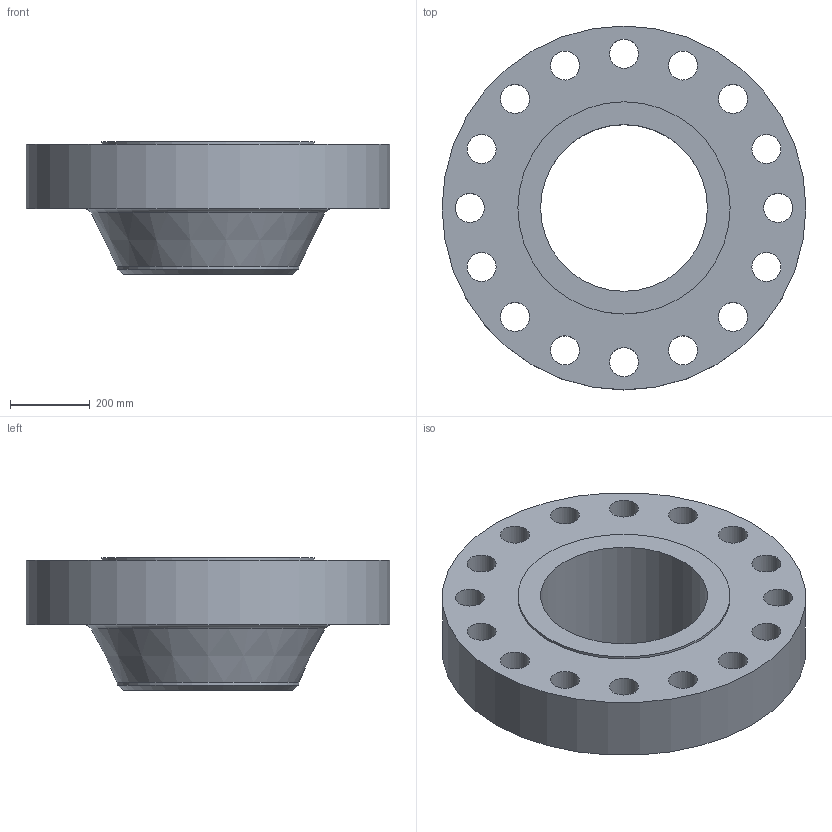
import cadquery as cq
import math

flange_diameter = 914.4
flange_thickness = 162.1
raised_face_diameter = 533.4
raised_face_height = 6.35
overall_height = 333.38

hub_base_diameter = 597.0
pipe_diameter = 457.2
bore_diameter = 419.1
weld_neck_length = 20.0
bevel_angle = 37.5
weld_land = 1.6
hub_fillet_radius = 19.05

corner_margin = 1.0

bolt_count = 16
bolt_circle_diameter = 774.7
bolt_hole_diameter = 73.0

flange_top = -raised_face_height
flange_bottom = flange_top - flange_thickness
weld_end = -overall_height
neck_top = weld_end + weld_neck_length


def make_body():
    """Flange, raised face and hub revolved about Z, with the bore open."""
    bore_radius = bore_diameter / 2
    pipe_radius = pipe_diameter / 2
    land_radius = bore_radius + weld_land
    bevel_height = (pipe_radius - land_radius) * math.tan(math.radians(bevel_angle))
    profile = (
        cq.Workplane("XZ")
        .moveTo(bore_radius, 0)
        .lineTo(raised_face_diameter / 2, 0)
        .lineTo(raised_face_diameter / 2, flange_top)
        .lineTo(flange_diameter / 2, flange_top)
        .lineTo(flange_diameter / 2, flange_bottom)
        .lineTo(hub_base_diameter / 2, flange_bottom)
        .lineTo(pipe_radius, neck_top)
        .lineTo(pipe_radius, weld_end + bevel_height)
        .lineTo(land_radius, weld_end)
        .lineTo(bore_radius, weld_end)
        .close()
    )
    body = profile.revolve(360, (0, 0, 0), (0, 1, 0))
    corner_radius = hub_base_diameter / 2 + corner_margin
    corner_box = cq.selectors.BoxSelector(
        (-corner_radius, -corner_radius, flange_bottom - corner_margin),
        (corner_radius, corner_radius, flange_bottom + corner_margin),
        boundingbox=True,
    )
    return body.edges(corner_box).fillet(hub_fillet_radius)


def make_bolt_holes():
    """Cylinders on the bolt circle, one of them on the +X axis."""
    return (
        cq.Workplane("XY")
        .workplane(offset=flange_bottom)
        .polarArray(bolt_circle_diameter / 2, 0, 360, bolt_count)
        .circle(bolt_hole_diameter / 2)
        .extrude(flange_thickness)
    )


result = make_body().cut(make_bolt_holes())